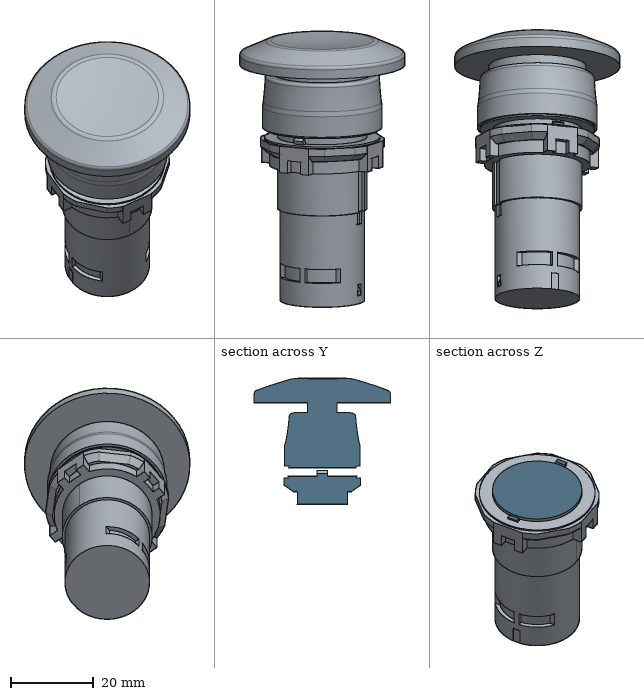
import cadquery as cq
import math

TOTAL_HEIGHT = 63.79
BARREL_TOP = 22.55
NUT_BOTTOM = 33.25
NUT_CHAMFER_BOTTOM = 36.3
NUT_CHAMFER_TOP = 37.9
NUT_TOP = 39.7
WASHER_TOP = 40.1
LIP_BOTTOM = 42.1
COLLAR_BOTTOM = 42.5
COLLAR_SHOULDER = 47.6
COLLAR_TAPER_BOTTOM = 48.8
COLLAR_TAPER_TOP = 54.65
COLLAR_TOP = 55.5
CAP_BOTTOM = 57.85

BARREL_R = 20.5 / 2
SLEEVE_R = 21.72 / 2
WASHER_R = 28.0 / 2
LIP_R = 27.8 / 2
COLLAR_R = 29.0 / 2
COLLAR_TAPER_BOTTOM_R = 14.3
COLLAR_TAPER_TOP_R = 13.85
COLLAR_TOP_R = 13.1
COLLAR_TAPER_SAG = 0.06
STEM_R = 23.6 / 2

CAP_R = 40.0 / 2
CAP_SLOPE = math.radians(24.5)
CAP_EDGE_ROUND = 0.9
RIM_CREST_R = 12.65
RIM_ROUND = 2.3
DISH_RIM_SLOPE = math.radians(7.0)

NUT_DISC_R = 15.0
NUT_ACROSS_FLATS = 29.0
NUT_SKIRT_R = 12.8
LUG_WIDTH = 8.0
LUG_NOTCH_WIDTH = 3.5

PRONG_WIDTH = 2.6
PRONG_THICKNESS = 1.05
PRONG_LENGTH = 2.5
PRONG_TILT = 30.0
PRONG_TIP_R = 12.1
PRONG_TIP_Z = 41.25

KEYWAY_WIDTH = 3.0
POCKET_WIDTH = 2.25
POCKET_HEIGHT = 3.05
POCKET_DEPTH = 0.6
CATCH_WIDTH = 1.55
CATCH_BOTTOM = 2.0
CATCH_STEP = 3.05
CATCH_TOP = 4.7
CATCH_TOP_DEPTH = 1.0
CATCH_STEP_DEPTH = 0.2
LABEL_WIDTH = 1.9
LABEL_HEIGHT = 4.0
LABEL_DEPTH = 0.1
WINDOW_BOTTOM = 5.9
WINDOW_TOP = 9.3
WINDOW_DEPTH = 1.0
WINDOW_RIB_WIDTH = 1.4
WINDOW_END_Y = 6.1


def cylinder(radius, bottom, top):
    return cq.Workplane("XY").workplane(offset=bottom).circle(radius).extrude(top - bottom)


def block(x_range, y_range, z_range):
    sizes = [high - low for low, high in (x_range, y_range, z_range)]
    return cq.Workplane("XY").box(*sizes, centered=False).translate((x_range[0], y_range[0], z_range[0]))


def arc_point(center, radius, angle_from_vertical):
    """Point on a round in the (radius, z) plane; positive angles lean outward."""
    return (
        center[0] + radius * math.sin(angle_from_vertical),
        center[1] + radius * math.cos(angle_from_vertical),
    )


def make_cap():
    """Mushroom cap with a conical flank, a rounded rim and a shallow spherical dish."""
    rim_center = (RIM_CREST_R, TOTAL_HEIGHT - RIM_ROUND)
    rim_inner = arc_point(rim_center, RIM_ROUND, -DISH_RIM_SLOPE)
    rim_outer = arc_point(rim_center, RIM_ROUND, CAP_SLOPE)

    edge_center_r = CAP_R - CAP_EDGE_ROUND
    flank_end_r = edge_center_r + CAP_EDGE_ROUND * math.sin(CAP_SLOPE)
    flank_end_z = rim_outer[1] - (flank_end_r - rim_outer[0]) * math.tan(CAP_SLOPE)
    edge_center = (edge_center_r, flank_end_z - CAP_EDGE_ROUND * math.cos(CAP_SLOPE))
    edge_middle = arc_point(edge_center, CAP_EDGE_ROUND, (CAP_SLOPE + math.pi / 2) / 2)

    dish_sphere_r = rim_inner[0] / math.sin(DISH_RIM_SLOPE)
    dish_center = (0, rim_inner[1] + dish_sphere_r * math.cos(DISH_RIM_SLOPE))
    dish_middle = arc_point(dish_center, -dish_sphere_r, -DISH_RIM_SLOPE / 2)
    dish_bottom = (0, dish_center[1] - dish_sphere_r)

    return (
        cq.Workplane("XZ")
        .moveTo(0, CAP_BOTTOM)
        .lineTo(CAP_R, CAP_BOTTOM)
        .lineTo(CAP_R, edge_center[1])
        .threePointArc(edge_middle, (flank_end_r, flank_end_z))
        .lineTo(*rim_outer)
        .threePointArc((RIM_CREST_R, TOTAL_HEIGHT), rim_inner)
        .threePointArc(dish_middle, dish_bottom)
        .close()
        .revolve(360, (0, 0, 0), (0, 1, 0))
    )


def make_collar():
    """Collar with a slightly waisted taper and a rounded top edge."""
    taper_middle = (
        (COLLAR_TAPER_BOTTOM_R + COLLAR_TAPER_TOP_R) / 2 - COLLAR_TAPER_SAG,
        (COLLAR_TAPER_BOTTOM + COLLAR_TAPER_TOP) / 2,
    )
    return (
        cq.Workplane("XZ")
        .moveTo(0, COLLAR_BOTTOM)
        .lineTo(COLLAR_R, COLLAR_BOTTOM)
        .lineTo(COLLAR_R, COLLAR_SHOULDER)
        .lineTo(COLLAR_TAPER_BOTTOM_R, COLLAR_TAPER_BOTTOM)
        .threePointArc(taper_middle, (COLLAR_TAPER_TOP_R, COLLAR_TAPER_TOP))
        .tangentArcPoint((COLLAR_TOP_R, COLLAR_TOP), relative=False)
        .lineTo(0, COLLAR_TOP)
        .close()
        .revolve(360, (0, 0, 0), (0, 1, 0))
    )


def make_body():
    """Stacked round sections from the barrel up to the cap."""
    return (
        cylinder(BARREL_R, 0, BARREL_TOP)
        .union(cylinder(SLEEVE_R, BARREL_TOP, COLLAR_BOTTOM))
        .union(cylinder(WASHER_R, NUT_TOP, WASHER_TOP))
        .union(cylinder(LIP_R, LIP_BOTTOM, COLLAR_BOTTOM))
        .union(make_collar())
        .union(cylinder(STEM_R, COLLAR_TOP, CAP_BOTTOM))
        .union(make_cap())
    )


def make_nut():
    """Lock nut: a disc with four diagonal flats, chamfered below, on a skirt with four notched lugs."""
    half_flats = NUT_ACROSS_FLATS / 2
    plate_height = NUT_TOP - NUT_CHAMFER_BOTTOM
    chamfer = NUT_CHAMFER_TOP - NUT_CHAMFER_BOTTOM
    disc = cylinder(NUT_DISC_R, NUT_CHAMFER_BOTTOM, NUT_TOP)
    square = (
        cq.Workplane("XY")
        .workplane(offset=NUT_CHAMFER_BOTTOM)
        .rect(NUT_ACROSS_FLATS, NUT_ACROSS_FLATS)
        .extrude(plate_height)
    )
    diagonal_square = square.rotate((0, 0, 0), (0, 0, 1), 45)
    plate = disc.faces("<Z").chamfer(chamfer)
    plate = plate.intersect(diagonal_square.faces("<Z").chamfer(chamfer))
    plate = plate.intersect(square)

    nut = plate.union(cylinder(NUT_SKIRT_R, NUT_BOTTOM, NUT_CHAMFER_BOTTOM))
    lug = block((0, half_flats), (-LUG_WIDTH / 2, LUG_WIDTH / 2), (NUT_BOTTOM, NUT_TOP))
    notch = block(
        (0, half_flats),
        (-LUG_NOTCH_WIDTH / 2, LUG_NOTCH_WIDTH / 2),
        (NUT_BOTTOM, NUT_CHAMFER_BOTTOM),
    )
    lug = lug.cut(notch)
    for angle in (0, 90, 180, 270):
        nut = nut.union(lug.rotate((0, 0, 0), (0, 0, 1), angle))
    return nut


def make_prongs():
    """Two blades leaning outward from the washer, on the -Y and +Y sides."""
    blade = (
        cq.Workplane("XY")
        .box(PRONG_WIDTH, PRONG_THICKNESS, PRONG_LENGTH, centered=(True, True, False))
        .translate((0, 0, -PRONG_LENGTH))
        .rotate((0, 0, 0), (1, 0, 0), -PRONG_TILT)
        .translate((0, PRONG_TIP_R, PRONG_TIP_Z))
    )
    return blade.union(blade.mirror("XZ"))


def make_windows():
    """Four shallow arc pockets, two on the -Y side and two on the +Y side, each pair split by a rib."""
    ring = cylinder(BARREL_R, WINDOW_BOTTOM, WINDOW_TOP).cut(
        cylinder(BARREL_R - WINDOW_DEPTH, WINDOW_BOTTOM, WINDOW_TOP)
    )
    quadrant = block(
        (WINDOW_RIB_WIDTH / 2, BARREL_R),
        (WINDOW_END_Y, BARREL_R),
        (WINDOW_BOTTOM, WINDOW_TOP),
    )
    quadrants = quadrant.union(quadrant.mirror("YZ"))
    quadrants = quadrants.union(quadrants.mirror("XZ"))
    return ring.intersect(quadrants)


def make_side_recesses():
    """Keyway in the sleeve, pocket below it and stepped catch near the bottom, all on the -X side."""
    keyway = block(
        (-SLEEVE_R, 0), (-KEYWAY_WIDTH / 2, KEYWAY_WIDTH / 2), (BARREL_TOP, NUT_BOTTOM)
    ).cut(cylinder(BARREL_R, BARREL_TOP, NUT_BOTTOM))
    pocket = block(
        (-BARREL_R, -BARREL_R + POCKET_DEPTH),
        (-POCKET_WIDTH / 2, POCKET_WIDTH / 2),
        (BARREL_TOP - POCKET_HEIGHT, BARREL_TOP),
    )
    catch = (
        cq.Workplane("XZ")
        .polyline([
            (-BARREL_R, CATCH_BOTTOM),
            (-BARREL_R + CATCH_STEP_DEPTH, CATCH_BOTTOM),
            (-BARREL_R + CATCH_STEP_DEPTH, CATCH_STEP),
            (-BARREL_R + CATCH_TOP_DEPTH, CATCH_TOP),
            (-BARREL_R, CATCH_TOP),
        ])
        .close()
        .extrude(CATCH_WIDTH / 2, both=True)
    )
    return keyway.union(pocket).union(catch)


def make_label_recess():
    """Shallow flat recess at the bottom of the -Y side."""
    return block(
        (-LABEL_WIDTH / 2, LABEL_WIDTH / 2),
        (-BARREL_R, -BARREL_R + LABEL_DEPTH),
        (0, LABEL_HEIGHT),
    )


body = make_body().cut(make_side_recesses()).cut(make_windows()).cut(make_label_recess())
result = body.union(make_nut()).union(make_prongs())